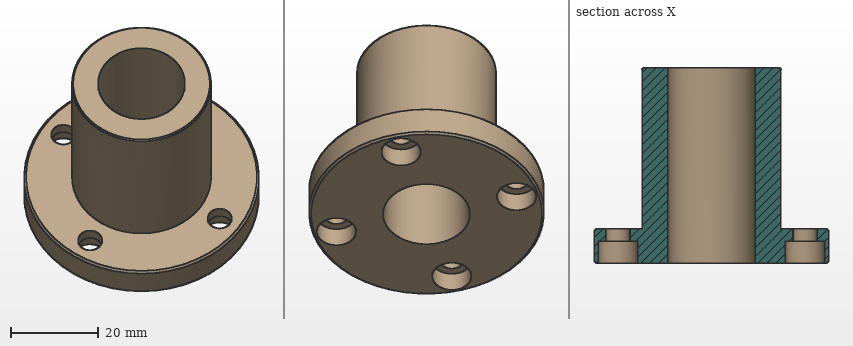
import cadquery as cq

flange_diameter = 54.0
flange_thickness = 8.0
flange_chamfer = 0.5

sleeve_diameter = 32.0
overall_height = 45.0
sleeve_chamfer = 0.3
bore_diameter = 20.0

bolt_count = 4
bolt_circle_diameter = 43.0
bolt_hole_diameter = 5.5
counterbore_diameter = 9.0
counterbore_depth = 5.1


def make_flange():
    """Disc with both rims chamfered."""
    disc = cq.Workplane("XY").circle(flange_diameter / 2).extrude(flange_thickness)
    return disc.faces("<Z or >Z").edges().chamfer(flange_chamfer)


def make_sleeve():
    """Cylinder from the flange underside to the top, chamfered at its top rim."""
    cylinder = cq.Workplane("XY").circle(sleeve_diameter / 2).extrude(overall_height)
    return cylinder.faces(">Z").edges().chamfer(sleeve_chamfer)


def make_bore():
    return cq.Workplane("XY").circle(bore_diameter / 2).extrude(overall_height)


def make_bolt_cutters(diameter, depth):
    """Cylinders on the bolt circle, rising from the flange underside."""
    return (
        cq.Workplane("XY")
        .polarArray(bolt_circle_diameter / 2, 0, 360, bolt_count)
        .circle(diameter / 2)
        .extrude(depth)
    )


result = (
    make_flange()
    .union(make_sleeve())
    .cut(make_bore())
    .cut(make_bolt_cutters(bolt_hole_diameter, flange_thickness))
    .cut(make_bolt_cutters(counterbore_diameter, counterbore_depth))
)